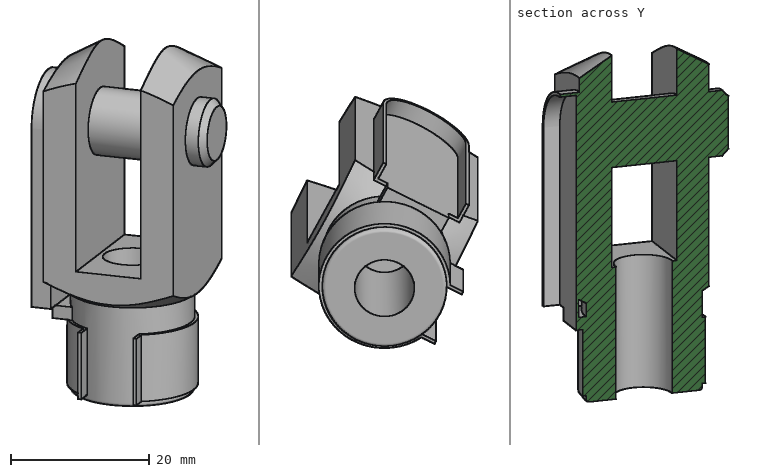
import cadquery as cq
import math

total_height = 52.0
fork_width = 20.0
fork_bottom = 15.0
slot_width = 10.0
slot_floor = 20.0
turned_angle = math.radians(30)

collar_diameter = 18.0
collar_edge_round = 0.5
bore_diameter = 8.65

pin_diameter = 10.0
pin_height = 40.0
pin_chamfer = 1.0
total_length = 26.0

sheet = 0.5
tray_width = 14.0
tray_bottom = 13.0
tab_width = 10.0
ring_bottom = 1.0
ring_top = 11.0
ring_gap = 8.0

fork_half = fork_width / 2
slot_half = slot_width / 2
collar_radius = collar_diameter / 2
bore_radius = bore_diameter / 2
half_length = total_length / 2
tray_floor_face = -fork_half - sheet


def cylinder(radius, bottom, top):
    return cq.Workplane("XY").workplane(offset=bottom).circle(radius).extrude(top - bottom)


def box(x_range, y_range, z_range):
    """Box between the given lower and upper limits on each axis."""
    limits = (x_range, y_range, z_range)
    sizes = [upper - lower for lower, upper in limits]
    corner = tuple(lower for lower, upper in limits)
    return cq.Workplane("XY").box(*sizes, centered=False).translate(corner)


def make_fork():
    block = box((-fork_half, fork_half), (-fork_half, fork_half), (fork_bottom, total_height))

    envelope_radius = fork_width
    slope = math.tan(turned_angle)
    lower_cone_end = fork_bottom + (envelope_radius - collar_radius) * slope
    upper_cone_end = total_height - (envelope_radius - slot_half) * slope
    envelope = (
        cq.Workplane("XZ")
        .moveTo(0, fork_bottom)
        .lineTo(collar_radius, fork_bottom)
        .lineTo(envelope_radius, lower_cone_end)
        .lineTo(envelope_radius, upper_cone_end)
        .lineTo(slot_half, total_height)
        .lineTo(0, total_height)
        .close()
        .revolve(360, (0, 0, 0), (0, 1, 0))
    )

    collar = cylinder(collar_radius, 0, fork_bottom).faces("<Z").edges().fillet(collar_edge_round)
    slot = box((-slot_half, slot_half), (-fork_half, fork_half), (slot_floor, total_height))
    bore = cylinder(bore_radius, 0, slot_floor)
    return block.intersect(envelope).union(collar).cut(slot).cut(bore)


def make_pin():
    return (
        cq.Workplane("YZ")
        .workplane(offset=-fork_half)
        .center(0, pin_height)
        .circle(pin_diameter / 2)
        .extrude(fork_half + half_length)
        .faces(">X")
        .chamfer(pin_chamfer)
    )


def tray_plate(half_width, x_start, x_end):
    """Plate with a round top centred on the pin and a straight bottom."""
    return (
        cq.Workplane("YZ")
        .workplane(offset=x_start)
        .moveTo(-half_width, tray_bottom)
        .lineTo(-half_width, pin_height)
        .threePointArc((0, pin_height + half_width), (half_width, pin_height))
        .lineTo(half_width, tray_bottom)
        .close()
        .extrude(x_end - x_start)
    )


def make_tray():
    outside = tray_plate(tray_width / 2, -half_length, -fork_half)
    recess = tray_plate(tray_width / 2 - sheet, -half_length, tray_floor_face)
    return outside.cut(recess)


def make_tab():
    return box(
        (tray_floor_face, -bore_radius),
        (-tab_width / 2, tab_width / 2),
        (ring_top, tray_bottom),
    )


def make_ring():
    ring_radius = collar_radius + sheet
    leg_outside = ring_gap / 2 + sheet
    leg_tip = -fork_half - sheet
    leg_root = -math.sqrt(collar_radius**2 - leg_outside**2)
    heights = (ring_bottom, ring_top)

    ring = cylinder(ring_radius, *heights).cut(cylinder(collar_radius, *heights))
    ring = ring.cut(box((-ring_gap / 2, ring_gap / 2), (-ring_radius, 0), heights))
    leg = box((ring_gap / 2, leg_outside), (leg_tip, leg_root), heights)
    return ring.union(leg).union(leg.mirror("YZ"))


result = make_fork().union(make_pin()).union(make_tray()).union(make_tab()).union(make_ring())